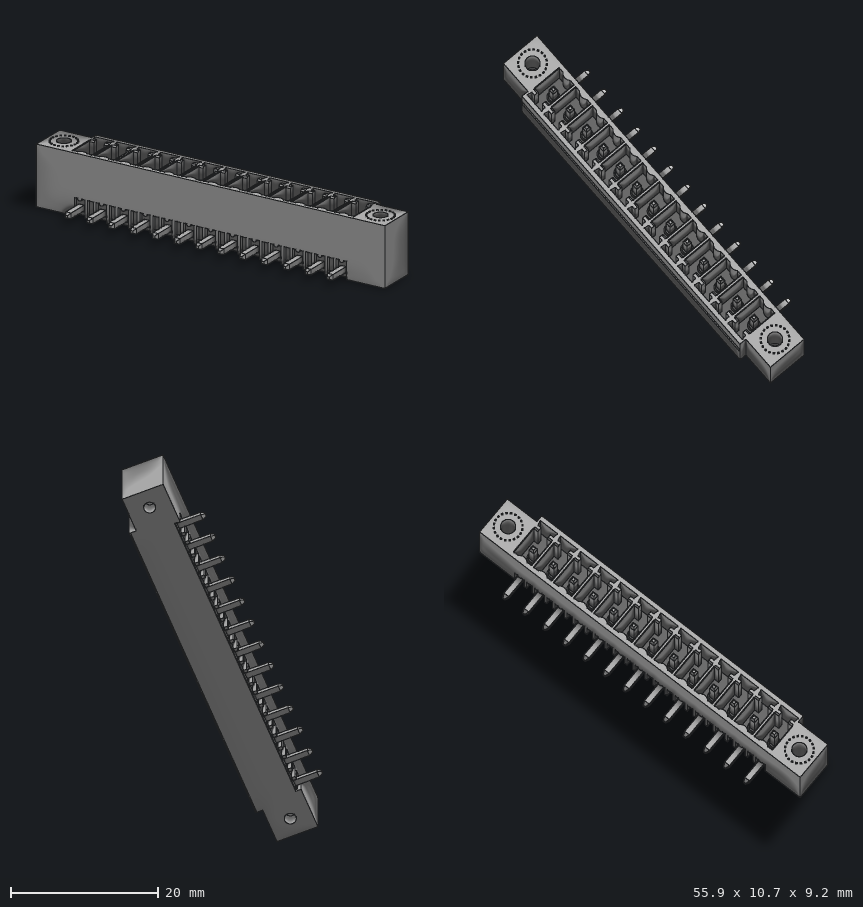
import cadquery as cq


length = 55.9
height = 9.2
flange_depth = 6.05
rail_length = 45.6
rail_depth = 7.1
rail_chamfer = 0.2
ridge_height = 0.15
ridge_width = 0.5
ridge_z = 5.85

pole_count = 13
row_length = 42.0
pitch = row_length / (pole_count - 1)
contact_y = 3.0
pole_xs = [-row_length / 2 + i * pitch for i in range(pole_count)]
gap_xs = [x + pitch / 2 for x in pole_xs[:-1]]

pocket_width = 3.0
pocket_front = 0.65
pocket_back = 6.45
pocket_floor = 3.45
neck_width = 1.6
neck_front = 5.05
neck_back = 5.7
key_slot_width = 2.75
bump_width = 1.5
bump_height = 0.35
lead_in_width = 0.085
lead_in_depth = 0.1
key_bevel = 0.2

pin_size = 0.85
pin_tip_size = 0.4
pin_tip_length = 0.55
leg_z = 1.25
leg_reach = 3.4
contact_top = 8.05
collar_diameter = 1.8
collar_top_diameter = 1.4
collar_height = 0.3

slot_height = 2.7
slot_depth = 0.55
leg_slot_width = 1.7
gap_slot_width = 0.95
stop_width = 0.65
stop_height = 0.35
relief_height = 0.5
relief_depth = 0.2
flare_width = 1.35
flare_height = 0.45

insert_x = 25.4
bore_diameter = 2.05
bore_depth = 6.7
through_diameter = 1.6
knurl_diameter = 3.9
knurl_count = 20
knurl_length = 0.2
knurl_width = 0.15
knurl_depth = 0.15


def block(width, y_range, z_range):
    """Box centred on X = 0 that spans the given Y and Z ranges."""
    y_size = y_range[1] - y_range[0]
    z_size = z_range[1] - z_range[0]
    corner = cq.Vector(-width / 2, y_range[0], z_range[0])
    return cq.Workplane(cq.Solid.makeBox(width, y_size, z_size, corner))


def at_each(shape, xs):
    """Copies of a shape moved to each X position."""
    copies = cq.Workplane("XY")
    for x in xs:
        copies = copies.add(shape.translate((x, 0, 0)))
    return copies.combine()


def housing():
    flanges = block(length, (0, flange_depth), (0, height))
    rail = block(rail_length, (0, rail_depth), (0, height))
    rail = rail.edges(">Y and <Z").chamfer(rail_chamfer)
    ridge = (
        cq.Workplane("YZ", origin=(-rail_length / 2, 0, 0))
        .moveTo(rail_depth, ridge_z - ridge_width / 2)
        .threePointArc((rail_depth + ridge_height, ridge_z), (rail_depth, ridge_z + ridge_width / 2))
        .close()
        .extrude(rail_length)
    )
    return flanges.union(rail).union(ridge)


def pocket():
    """Plug pocket with key slot, front bump and bevelled rim."""
    half = pocket_width / 2
    half_neck = neck_width / 2
    half_key = key_slot_width / 2
    half_bump = bump_width / 2
    cavity = (
        cq.Workplane("XY", origin=(0, 0, pocket_floor))
        .moveTo(-half, pocket_front)
        .lineTo(-half_bump, pocket_front)
        .threePointArc((0, pocket_front + bump_height), (half_bump, pocket_front))
        .lineTo(half, pocket_front)
        .lineTo(half, neck_front)
        .lineTo(half_neck, neck_front)
        .lineTo(half_neck, neck_back)
        .lineTo(half_key, neck_back)
        .lineTo(half, pocket_back)
        .lineTo(-half, pocket_back)
        .lineTo(-half_key, neck_back)
        .lineTo(-half_neck, neck_back)
        .lineTo(-half_neck, neck_front)
        .lineTo(-half, neck_front)
        .close()
        .extrude(height - pocket_floor)
    )
    for side in (-1, 1):
        wall_bevel = (
            cq.Workplane("XZ", origin=(0, pocket_front, 0))
            .moveTo(side * half, height - lead_in_depth)
            .lineTo(side * (half + lead_in_width), height)
            .lineTo(side * half, height)
            .close()
            .extrude(pocket_front - neck_front)
        )
        cavity = cavity.union(wall_bevel)
    front_bevel = (
        cq.Workplane("YZ", origin=(-half, 0, 0))
        .moveTo(neck_front, height - key_bevel)
        .lineTo(neck_front + key_bevel, height)
        .lineTo(neck_front, height)
        .close()
        .extrude(pocket_width)
    )
    return cavity.union(front_bevel)


def leg_slot():
    """Slot in the front wall around a contact leg, open at the bottom."""
    slot = block(leg_slot_width, (0, slot_depth), (0, slot_height))
    stop = (
        cq.Workplane("XZ")
        .moveTo(-stop_width / 2, slot_height)
        .threePointArc((0, slot_height - stop_height), (stop_width / 2, slot_height))
        .close()
        .extrude(-slot_depth)
    )
    flare_top = relief_height + flare_height
    flare = (
        cq.Workplane("YZ", origin=(-flare_width / 2, 0, 0))
        .moveTo(slot_depth, relief_height)
        .lineTo(slot_depth + relief_depth, relief_height)
        .lineTo(slot_depth, flare_top)
        .close()
        .extrude(flare_width)
    )
    flare_outline = (
        cq.Workplane("XZ", origin=(0, slot_depth, 0))
        .moveTo(-flare_width / 2, relief_height)
        .lineTo(flare_width / 2, relief_height)
        .lineTo(pin_size / 2, flare_top)
        .lineTo(-pin_size / 2, flare_top)
        .close()
        .extrude(-relief_depth)
    )
    return slot.cut(stop).union(flare.intersect(flare_outline))


def square_pin(plane, span):
    """Square bar along a plane's normal, ending in a blunt pyramid tip."""
    bar = cq.Workplane(plane).rect(pin_size, pin_size).extrude(span - pin_tip_length)
    tip = (
        bar.faces(cq.selectors.DirectionMinMaxSelector(plane.zDir, True))
        .workplane()
        .rect(pin_size, pin_size)
        .workplane(offset=pin_tip_length)
        .rect(pin_tip_size, pin_tip_size)
        .loft(combine=False)
    )
    return bar.union(tip)


def contact():
    """Bent contact: upright in the pocket, leg out through the front wall."""
    elbow = (0, contact_y, leg_z)
    upright = square_pin(cq.Plane(elbow, (1, 0, 0), (0, 0, 1)), contact_top - leg_z)
    leg = square_pin(cq.Plane(elbow, (1, 0, 0), (0, -1, 0)), contact_y + leg_reach)
    collar = cq.Workplane(
        cq.Solid.makeCone(
            collar_diameter / 2,
            collar_top_diameter / 2,
            collar_height,
            cq.Vector(0, contact_y, pocket_floor),
        )
    )
    return upright.union(leg).union(collar)


def insert_hole():
    """Stepped bore with a ring of knurl notches in the top face around it."""
    through = cq.Workplane("XY").circle(through_diameter / 2).extrude(height)
    bore = (
        cq.Workplane("XY", origin=(0, 0, height - bore_depth))
        .circle(bore_diameter / 2)
        .extrude(bore_depth)
    )
    notches = (
        cq.Workplane("XY", origin=(0, 0, height - knurl_depth))
        .polarArray(knurl_diameter / 2, 180 / knurl_count, 360, knurl_count)
        .rect(knurl_width, knurl_length)
        .extrude(knurl_depth)
    )
    return through.union(bore).union(notches).translate((0, contact_y, 0))


slot_row_length = row_length + leg_slot_width
bottom_relief = block(slot_row_length, (slot_depth, slot_depth + relief_depth), (0, relief_height))
gap_slot = block(gap_slot_width, (0, slot_depth), (0, slot_height))

result = (
    housing()
    .cut(at_each(pocket(), pole_xs))
    .cut(bottom_relief)
    .cut(at_each(leg_slot(), pole_xs))
    .cut(at_each(gap_slot, gap_xs))
    .cut(at_each(insert_hole(), (-insert_x, insert_x)))
    .union(at_each(contact(), pole_xs))
)